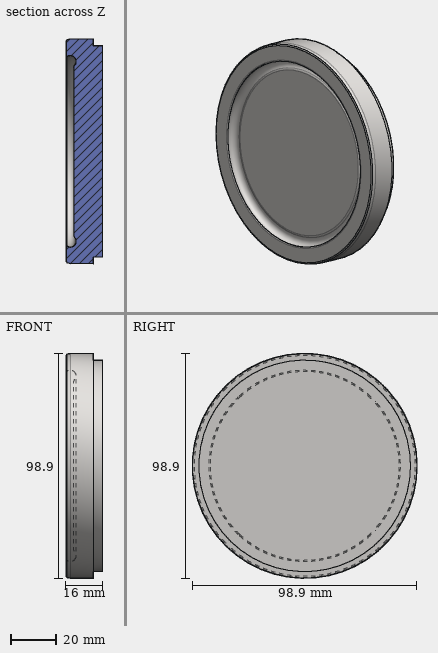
import cadquery as cq

outer_radius = 49.45
spigot_radius = 46.5
total_width = 16.0
flange_width = 12.0

taper_end = 1.9
chamfer_depth = 0.4
chamfer_radius = 49.2
face_radius = 48.6

recess_depth = 3.4
recess_mouth_radius = 42.1
lip_width = 0.6
lip_depth = 0.3
lip_round = 0.8
floor_radius = 37.1
floor_edge_width = 0.9
floor_edge_drop = 0.4
floor_edge_round = 1.4
groove_bottom_radius = 39.6
groove_bottom_depth = 4.4

groove_outer = (lip_depth, recess_mouth_radius - lip_width)
groove_bottom = (groove_bottom_depth, groove_bottom_radius)
groove_inner = (recess_depth + floor_edge_drop, floor_radius + floor_edge_width)

half_section = (
    cq.Workplane("XY")
    .moveTo(recess_depth, 0)
    .lineTo(recess_depth, floor_radius)
    .radiusArc(groove_inner, floor_edge_round)
    .threePointArc(groove_bottom, groove_outer)
    .radiusArc((0, recess_mouth_radius), lip_round)
    .lineTo(0, face_radius)
    .lineTo(chamfer_depth, chamfer_radius)
    .lineTo(taper_end, outer_radius)
    .lineTo(flange_width, outer_radius)
    .lineTo(flange_width, spigot_radius)
    .lineTo(total_width, spigot_radius)
    .lineTo(total_width, 0)
    .close()
)

result = half_section.revolve(360, (0, 0, 0), (1, 0, 0))